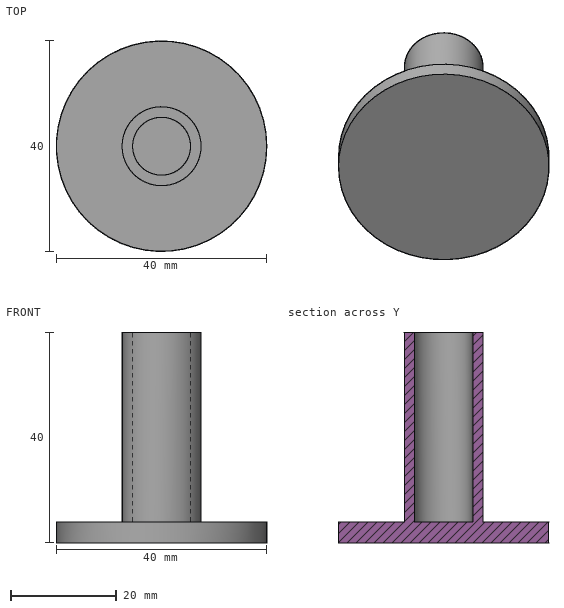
import cadquery as cq

total_height = 40.0
flange_diameter = 40.0
flange_thickness = 4.0
tube_diameter = 15.0
bore_diameter = 11.0

tube_length = total_height - flange_thickness

flange = cq.Workplane("XY").circle(flange_diameter / 2).extrude(flange_thickness)

tube = (
    cq.Workplane("XY")
    .workplane(offset=flange_thickness)
    .circle(tube_diameter / 2)
    .circle(bore_diameter / 2)
    .extrude(tube_length)
)

result = flange.union(tube)